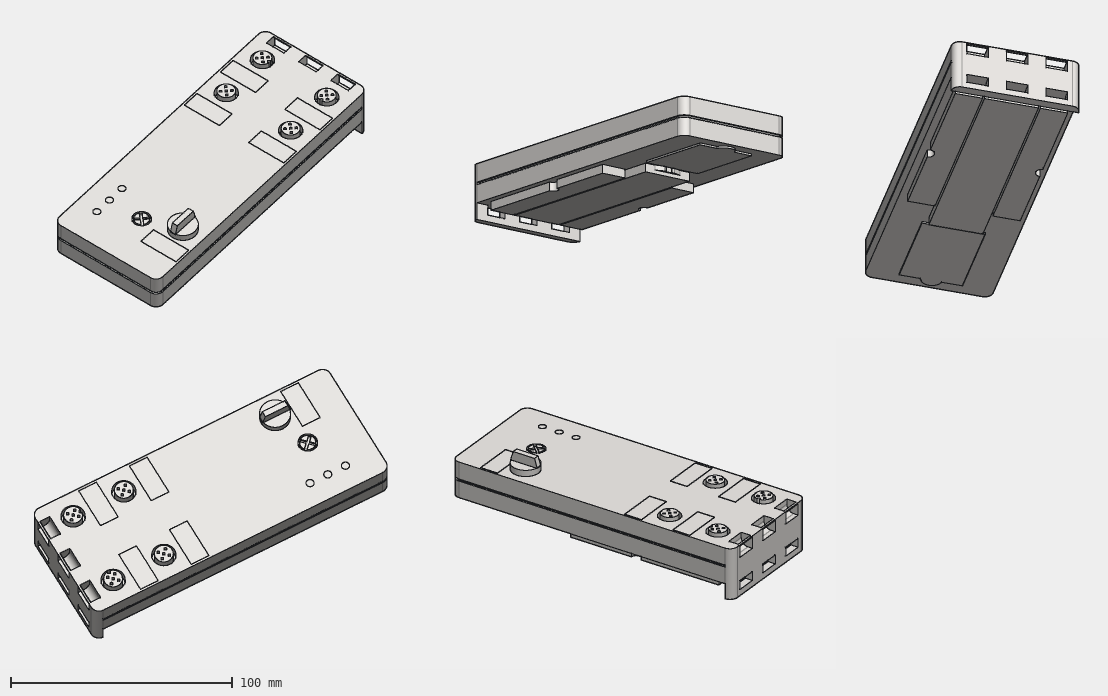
import cadquery as cq

LENGTH = 152.0
WIDTH = 59.6
HEIGHT = 34.0
TOP_Z = 26.1
BODY_BOTTOM_Z = 7.8
CORNER_RADIUS = 4.0
BACK_PLATE_THICKNESS = CORNER_RADIUS
BACK_Y = LENGTH / 2
BACK_PLATE_Y = BACK_Y - BACK_PLATE_THICKNESS

SEAM_Z = 16.9
SEAM_HEIGHT = 1.0
SEAM_DEPTH = 0.9

TIE_SLOT_PITCH = 18.5
TIE_SLOT_WIDTH = 10.0
TIE_SLOT_LENGTH = 6.1
TIE_SLOT_DEPTH = 6.4
TIE_SLOT_FLOOR_RADIUS = 3.6
TIE_BAR_THICKNESS = 1.0
TIE_BAR_HEIGHT = 0.6
TIE_WINDOW_BOTTOM_Z = 3.2

COLUMN_X = 18.5
SOCKET_ROWS_Y = (60.6, 34.5)
SOCKET_WELL_RADIUS = 5.5
SOCKET_WELL_DEPTH = 4.5
SOCKET_CORE_RADIUS = 4.3
SOCKET_CORE_RISE = 1.4
PIN_HOLE_RADIUS = 0.6
PIN_HOLE_DEPTH = 2.3
PIN_OFFSET = 1.8
KEYWAY_RADIUS = 0.8
KEYWAY_OFFSET = 3.8

LABEL_LENGTH = 20.2
LABEL_WIDTH = 9.1
LABEL_DROP_FROM_SOCKET = 13.0
LOWER_LABEL_Y = -56.5
MARK_DEPTH = 0.2

LAMP_RADIUS = 1.8
LAMP_PITCH = 9.1
LAMP_MIDDLE_Y = -50.0

SCREW_Y = LAMP_MIDDLE_Y
SCREW_WELL_RADIUS = 4.4
SCREW_HEAD_RADIUS = 3.6
SCREW_WELL_DEPTH = 1.5
SCREW_SLOT_WIDTH = 1.2
SCREW_SLOT_DEPTH = 0.9

KNOB_Y = -43.5
KNOB_RADIUS = 7.0
KNOB_BASE_HEIGHT = 3.2
GRIP_THICKNESS = 2.9
GRIP_LENGTH_BOTTOM = 14.5
GRIP_LENGTH_TOP = 11.5

FOOT_BOTTOM_Z = 3.6
FOOT_BACK_Y = 66.3
MIDDLE_FOOT_FRONT_Y = -27.8
MIDDLE_FOOT_WIDTH = 25.2
OUTER_FOOT_FRONT_Y = -14.0
OUTER_FOOT_EDGE_X = 26.3
FOOT_GAP = 0.9
FOOT_NOTCH_Y = 21.6
FOOT_NOTCH_RADIUS = 2.6

LATCH_BASE_WIDTH = 14.6
LATCH_TIP_WIDTH = 5.8
LATCH_NOTCH_WIDTH = 3.2
LATCH_NOTCH_DEPTH = 0.5
LATCH_LENGTH = 1.4
LATCH_BOTTOM_Z = 5.5

PAD_WIDTH = 29.6
PAD_THICKNESS = 0.9
PAD_BACK_Y = -31.2
PAD_TIP_Y = -73.4
PAD_NOSE_RADIUS = 5.3
PAD_NOSE_LENGTH = 3.6


def block(x_range, y_range, z_range):
    """Axis-aligned box given by its limits along X, Y and Z."""
    sizes = [high - low for low, high in (x_range, y_range, z_range)]
    corner = (x_range[0], y_range[0], z_range[0])
    return cq.Workplane("XY").box(*sizes, centered=False).translate(corner)


def cylinder(x, y, radius, bottom_z, top_z):
    """Upright cylinder between two heights."""
    base_plane = cq.Workplane("XY").workplane(offset=bottom_z)
    return base_plane.center(x, y).circle(radius).extrude(top_z - bottom_z)


def centred(width, x=0.0):
    """Limits of a width centred on x."""
    return (x - width / 2, x + width / 2)


def housing():
    """Rounded housing whose back plate hangs below the body, with a seam around the body."""
    shell = cq.Workplane("XY").rect(WIDTH, LENGTH).extrude(TOP_Z).edges("|Z").fillet(CORNER_RADIUS)
    full_x = centred(WIDTH)
    shell = shell.cut(block(full_x, (-BACK_Y, BACK_PLATE_Y), (0, BODY_BOTTOM_Z)))
    seam_z = centred(SEAM_HEIGHT, SEAM_Z)
    seam = block(full_x, (-BACK_Y, BACK_PLATE_Y), seam_z)
    core_y = (-BACK_Y + SEAM_DEPTH, BACK_PLATE_Y - SEAM_DEPTH)
    core = block(centred(WIDTH - 2 * SEAM_DEPTH), core_y, seam_z)
    core = core.edges("|Z and <Y").fillet(CORNER_RADIUS - SEAM_DEPTH)
    return shell.cut(seam.cut(core))


def tie_slot(x):
    """Channel that enters the top, curves out of the back under a bar, plus the window below the body."""
    slot_x = centred(TIE_SLOT_WIDTH, x)
    slot_y = (BACK_Y - TIE_SLOT_LENGTH, BACK_Y)
    channel = block(slot_x, slot_y, (TOP_Z - TIE_SLOT_DEPTH, TOP_Z))
    channel = channel.edges("<Y and <Z").fillet(TIE_SLOT_FLOOR_RADIUS)
    bar = block(slot_x, (BACK_Y - TIE_BAR_THICKNESS, BACK_Y), (TOP_Z - TIE_BAR_HEIGHT, TOP_Z))
    window = block(slot_x, (BACK_PLATE_Y, BACK_Y), (TIE_WINDOW_BOTTOM_Z, BODY_BOTTOM_Z))
    return channel.cut(bar).union(window)


def socket_well(x, y):
    """Round recess around a socket core."""
    return cylinder(x, y, SOCKET_WELL_RADIUS, TOP_Z - SOCKET_WELL_DEPTH, TOP_Z)


def socket_core(x, y, keyway_offset=None):
    """Socket insert with five pin holes and, if an offset is given, a keyway in its rim."""
    core_top = TOP_Z + SOCKET_CORE_RISE
    core_bottom = TOP_Z - SOCKET_WELL_DEPTH
    core = cylinder(x, y, SOCKET_CORE_RADIUS, core_bottom, core_top)
    pins = [(0, 0)] + [(i * PIN_OFFSET, j * PIN_OFFSET) for i in (-1, 1) for j in (-1, 1)]
    for dx, dy in pins:
        core = core.cut(cylinder(x + dx, y + dy, PIN_HOLE_RADIUS, core_top - PIN_HOLE_DEPTH, core_top))
    if keyway_offset:
        dx, dy = keyway_offset
        core = core.cut(cylinder(x + dx, y + dy, KEYWAY_RADIUS, core_bottom, core_top))
    return core


def label_recess(x, y):
    """Shallow rectangular label field."""
    return block(centred(LABEL_LENGTH, x), centred(LABEL_WIDTH, y), (TOP_Z - MARK_DEPTH, TOP_Z))


def knob():
    """Rotary switch: round base with a tapered grip."""
    base_top = TOP_Z + KNOB_BASE_HEIGHT
    base = cylinder(COLUMN_X, KNOB_Y, KNOB_RADIUS, TOP_Z, base_top)
    half_bottom, half_top = GRIP_LENGTH_BOTTOM / 2, GRIP_LENGTH_TOP / 2
    profile = [(-half_bottom, base_top), (half_bottom, base_top), (half_top, HEIGHT), (-half_top, HEIGHT)]
    grip = cq.Workplane("YZ").polyline(profile).close().extrude(GRIP_THICKNESS / 2, both=True)
    return base.union(grip.translate((COLUMN_X, KNOB_Y, 0)))


def screw_recess():
    """Ring around the screw head and the cross slot in the head."""
    head = cylinder(0, SCREW_Y, SCREW_HEAD_RADIUS, TOP_Z - SCREW_WELL_DEPTH, TOP_Z)
    ring = cylinder(0, SCREW_Y, SCREW_WELL_RADIUS, TOP_Z - SCREW_WELL_DEPTH, TOP_Z).cut(head)
    slot_z = (TOP_Z - SCREW_SLOT_DEPTH, TOP_Z)
    slot = block(centred(2 * SCREW_HEAD_RADIUS), centred(SCREW_SLOT_WIDTH), slot_z)
    for angle in (45, -45):
        ring = ring.union(slot.rotate((0, 0, 0), (0, 0, 1), angle).translate((0, SCREW_Y, 0)))
    return ring


def feet():
    """Long middle foot flanked by two shorter feet with a round notch in their outer sides."""
    foot_z = (FOOT_BOTTOM_Z, BODY_BOTTOM_Z)
    middle = block(centred(MIDDLE_FOOT_WIDTH), (MIDDLE_FOOT_FRONT_Y, FOOT_BACK_Y), foot_z)
    inner_x = MIDDLE_FOOT_WIDTH / 2 + FOOT_GAP
    outer = block((inner_x, OUTER_FOOT_EDGE_X), (OUTER_FOOT_FRONT_Y, FOOT_BACK_Y), foot_z)
    outer = outer.cut(cylinder(OUTER_FOOT_EDGE_X, FOOT_NOTCH_Y, FOOT_NOTCH_RADIUS, *foot_z))
    return middle.union(outer).union(outer.mirror("YZ"))


def latch():
    """Small tapered lug on the front end of the middle foot."""
    tip_y = MIDDLE_FOOT_FRONT_Y - LATCH_LENGTH
    base, tip, notch = LATCH_BASE_WIDTH / 2, LATCH_TIP_WIDTH / 2, LATCH_NOTCH_WIDTH / 2
    outline = [(-base, MIDDLE_FOOT_FRONT_Y), (-tip, tip_y), (-notch, tip_y),
               (-notch, tip_y + LATCH_NOTCH_DEPTH), (notch, tip_y + LATCH_NOTCH_DEPTH),
               (notch, tip_y), (tip, tip_y), (base, MIDDLE_FOOT_FRONT_Y)]
    height = BODY_BOTTOM_Z - LATCH_BOTTOM_Z
    return cq.Workplane("XY").workplane(offset=LATCH_BOTTOM_Z).polyline(outline).close().extrude(height)


def pad():
    """Thin plate under the front of the body with a rounded nose."""
    pad_z = (BODY_BOTTOM_Z - PAD_THICKNESS, BODY_BOTTOM_Z)
    plate = block(centred(PAD_WIDTH), (PAD_TIP_Y + PAD_NOSE_LENGTH, PAD_BACK_Y), pad_z)
    return plate.union(cylinder(0, PAD_TIP_Y + PAD_NOSE_RADIUS, PAD_NOSE_RADIUS, *pad_z))


result = housing()
result = result.union(feet()).union(latch()).union(pad()).union(knob())

for slot_index in (-1, 0, 1):
    result = result.cut(tie_slot(slot_index * TIE_SLOT_PITCH))

keyways = {(-1, SOCKET_ROWS_Y[0]): (KEYWAY_OFFSET, 0), (1, SOCKET_ROWS_Y[0]): (0, -KEYWAY_OFFSET)}
for side in (-1, 1):
    for row_y in SOCKET_ROWS_Y:
        socket_x = side * COLUMN_X
        result = result.cut(socket_well(socket_x, row_y))
        result = result.union(socket_core(socket_x, row_y, keyways.get((side, row_y))))
        result = result.cut(label_recess(socket_x, row_y - LABEL_DROP_FROM_SOCKET))

result = result.cut(label_recess(COLUMN_X, LOWER_LABEL_Y))
result = result.cut(screw_recess())

for lamp_index in (-1, 0, 1):
    lamp_y = LAMP_MIDDLE_Y + lamp_index * LAMP_PITCH
    result = result.cut(cylinder(-COLUMN_X, lamp_y, LAMP_RADIUS, TOP_Z - MARK_DEPTH, TOP_Z))